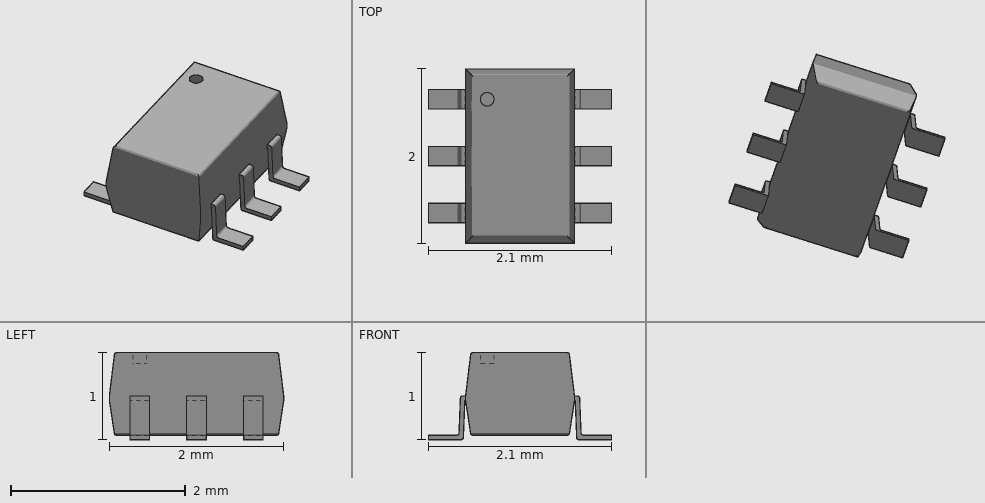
import cadquery as cq
import math

body_width = 1.25
body_length = 2.0
total_height = 1.0
standoff = 0.05
taper_inset = 0.06
edge_radius = 0.03

lead_span = 2.1
lead_thickness = 0.055
lead_width = 0.225
lead_pitch = 0.65
leads_per_side = 3
shoulder_top = 0.505
leg_gap = 0.006
leg_lean = 2.2
shoulder_radius = 0.03
foot_radius = 0.025

shoulder_bottom = shoulder_top - lead_thickness
last_lead_y = lead_pitch * (leads_per_side - 1) / 2

band_top = shoulder_top
band_bottom = shoulder_bottom

marker_diameter = 0.155
marker_depth = 0.125
marker_x = -0.375
marker_y = last_lead_y


def tapered_block(start_height, end_height):
    """Block from the full band outline to the inset outline at end_height."""
    return (
        cq.Workplane("XY", origin=(0, 0, start_height))
        .rect(body_width, body_length)
        .workplane(offset=end_height - start_height)
        .rect(body_width - 2 * taper_inset, body_length - 2 * taper_inset)
        .loft(ruled=True)
    )


def make_body():
    """Molded body with rounded rims and a blind pin-one marker."""
    upper = tapered_block(band_top, total_height).faces(">Z").edges().fillet(edge_radius)
    lower = tapered_block(band_bottom, standoff).faces("<Z").edges().fillet(edge_radius)
    band = (
        cq.Workplane("XY", origin=(0, 0, band_bottom))
        .rect(body_width, body_length)
        .extrude(band_top - band_bottom)
    )
    marker = (
        cq.Workplane("XY", origin=(marker_x, marker_y, total_height))
        .circle(marker_diameter / 2)
        .extrude(-marker_depth)
    )
    return band.union(upper).union(lower).cut(marker)


def round_bend(lead, corner, y_center, radius):
    """Round the bend of a lead whose edge along Y passes through the XZ corner."""
    corner_x, corner_z = corner
    nearest = cq.selectors.NearestToPointSelector((corner_x, y_center, corner_z))
    return lead.edges("|Y").edges(nearest).fillet(radius)


def make_lead(y_center):
    """Lead on the +X side: shoulder, leaning leg and flat foot."""
    body_face = body_width / 2
    foot_tip = lead_span / 2
    lean = math.radians(leg_lean)
    slope = math.tan(lean)
    leg_run = lead_thickness / math.cos(lean)

    armpit = (body_face + leg_gap, shoulder_bottom)
    heel_x = armpit[0] + slope * shoulder_bottom
    heel = (heel_x, 0)
    shoulder = (heel_x - slope * shoulder_top + leg_run, shoulder_top)
    instep = (heel_x - slope * lead_thickness + leg_run, lead_thickness)

    lead = (
        cq.Workplane("XZ", origin=(0, y_center + lead_width / 2, 0))
        .moveTo(body_face, shoulder_top)
        .lineTo(*shoulder)
        .lineTo(*instep)
        .lineTo(foot_tip, lead_thickness)
        .lineTo(foot_tip, 0)
        .lineTo(*heel)
        .lineTo(*armpit)
        .lineTo(body_face, shoulder_bottom)
        .close()
        .extrude(lead_width)
    )
    lead = round_bend(lead, shoulder, y_center, shoulder_radius)
    lead = round_bend(lead, instep, y_center, foot_radius)
    return round_bend(lead, heel, y_center, foot_radius)


def make_leads():
    """Matching rows of leads on the +X and -X sides."""
    solids = []
    for index in range(leads_per_side):
        lead = make_lead(index * lead_pitch - last_lead_y).solids()
        solids.append(lead.val())
        solids.append(lead.val().mirror("YZ"))
    return solids


body = make_body().solids()
leads = make_leads()
result = cq.Compound.makeCompound([body.val(), *leads])